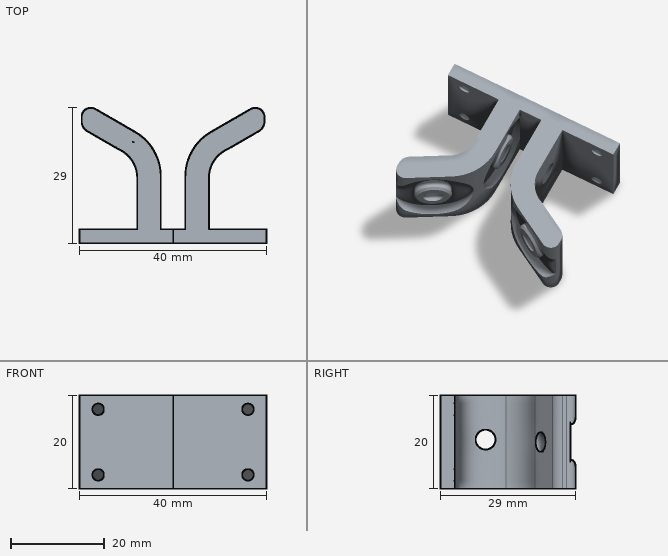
import cadquery as cq
import math

height = 20.0
plate_width = 20.0
plate_thickness = 3.05
screw_diameter = 2.5
screw_edge_x = 4.0
screw_edge_z = 3.0

leg_inset = 2.6
leg_thickness = 5.1
arm_thickness = 5.0
arm_slope = 30.0
outer_bend_radius = 11.0
outer_bend_start_y = 14.3
inner_bend_start_y = 14.0
inner_bend_end_y = 20.15
tip_inset = 0.45
upper_tip_radius = 2.0
lower_tip_radius = 2.5

leg_recess_diameter = 17.0
leg_recess_depth = 2.0
arm_recess_diameter = 17.45
arm_recess_depth = 2.1
boss_diameter = 8.0
boss_chamfer = 0.5
leg_hole_y = 9.7
leg_hole_z = 10.5
left_leg_hole_diameter = 5.0
right_leg_hole_diameter = 4.2
arm_hole_diameter = 4.2
arm_hole_reach = 3.9

leg_inner_x = -leg_inset
leg_outer_x = leg_inner_x - leg_thickness
tip_x = tip_inset - plate_width
leg_center = (leg_inner_x, leg_hole_y, leg_hole_z)
into_leg = (-1, 0, 0)

slope = math.radians(arm_slope)
into_arm = (-math.sin(slope), -math.cos(slope), 0)
bend_sweep = 90 - arm_slope


def outer_bend_point(angle):
    """Point of the outer bend at an angle in degrees from +X."""
    turn = math.radians(angle)
    x = leg_inner_x - outer_bend_radius + outer_bend_radius * math.cos(turn)
    y = outer_bend_start_y + outer_bend_radius * math.sin(turn)
    return (x, y)


outer_bend_end = outer_bend_point(bend_sweep)
upper_tip = (tip_x, outer_bend_end[1] + (outer_bend_end[0] - tip_x) * math.tan(slope))
lower_tip = (tip_x, upper_tip[1] - arm_thickness / math.cos(slope))
inner_bend_end = (tip_x + (lower_tip[1] - inner_bend_end_y) / math.tan(slope), inner_bend_end_y)
arm_center = (
    outer_bend_end[0] - arm_hole_reach * math.cos(slope),
    outer_bend_end[1] + arm_hole_reach * math.sin(slope),
    height / 2,
)


def cylinder(start, direction, diameter, length):
    solid = cq.Solid.makeCylinder(diameter / 2, length, cq.Vector(*start), cq.Vector(*direction))
    return cq.Workplane(solid)


def recess(start, direction, diameter, depth):
    """Round pocket around a full-height boss with a chamfered rim."""
    boss = cylinder(start, direction, boss_diameter, depth)
    rim = boss.edges(cq.selectors.NearestToPointSelector(start))
    boss = rim.chamfer(boss_chamfer)
    return cylinder(start, direction, diameter, depth).cut(boss)


def make_plate():
    plate = cq.Workplane("XY").box(plate_width, plate_thickness, height, centered=False)
    plate = plate.translate((-plate_width, 0, 0))
    screw_x = screw_edge_x - plate_width
    for z in (screw_edge_z, height - screw_edge_z):
        plate = plate.cut(cylinder((screw_x, 0, z), (0, 1, 0), screw_diameter, plate_thickness))
    return plate


def round_upright_edge(body, corner, radius):
    nearest = cq.selectors.NearestToPointSelector((*corner, height / 2))
    return body.edges(nearest).fillet(radius)


def make_arm():
    arm = (
        cq.Workplane("XY")
        .moveTo(leg_outer_x, 0)
        .lineTo(leg_outer_x, inner_bend_start_y)
        .tangentArcPoint(inner_bend_end, relative=False)
        .lineTo(*lower_tip)
        .lineTo(*upper_tip)
        .lineTo(*outer_bend_end)
        .threePointArc(outer_bend_point(bend_sweep / 2), (leg_inner_x, outer_bend_start_y))
        .lineTo(leg_inner_x, 0)
        .close()
        .extrude(height)
    )
    arm = round_upright_edge(arm, upper_tip, upper_tip_radius)
    return round_upright_edge(arm, lower_tip, lower_tip_radius)


def make_left_hook(leg_hole_diameter):
    hook = make_plate().union(make_arm())
    hook = hook.cut(recess(leg_center, into_leg, leg_recess_diameter, leg_recess_depth))
    hook = hook.cut(cylinder(leg_center, into_leg, leg_hole_diameter, leg_thickness))
    hook = hook.cut(recess(arm_center, into_arm, arm_recess_diameter, arm_recess_depth))
    return hook.cut(cylinder(arm_center, into_arm, arm_hole_diameter, arm_thickness))


left_hook = make_left_hook(left_leg_hole_diameter)
right_hook = make_left_hook(right_leg_hole_diameter).mirror("YZ")

result = cq.Compound.makeCompound([left_hook.val(), right_hook.val()])